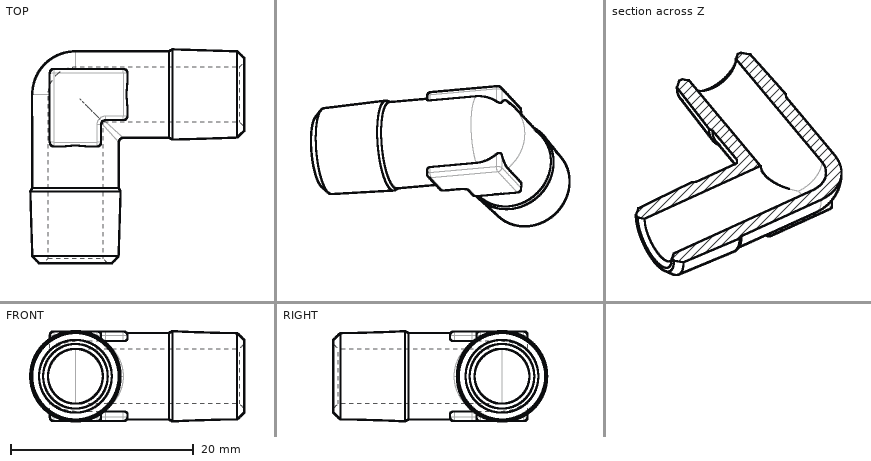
import cadquery as cq

overall_length = 23.45
collar_radius = 9.92 / 2
arm_length = overall_length - collar_radius

pipe_radius = 4.76
collar_start = 10.25
collar_step_length = 0.4
taper_start = collar_start + collar_step_length
taper_slope = 1 / 32
tip_chamfer_length = 0.77
tip_radius = 3.99
taper_end = arm_length - tip_chamfer_length
taper_end_radius = collar_radius - taper_slope * (taper_end - taper_start)

bore_radius = 3.0
mouth_radius = 3.55
mouth_depth = mouth_radius - bore_radius

pad_half_width = 2.82
pad_reach = 5.7
pad_height = 9.85
pad_corner_radius = 0.47
pad_edge_radius = 0.45

inner_crease_radius = 0.5


def revolve_arm(profile):
    """Revolve (distance along X, radius) points about the X axis."""
    return cq.Workplane("XY").polyline(profile).close().revolve(360, (0, 0, 0), (1, 0, 0))


def make_elbow(profile, ball_radius):
    """Join two perpendicular arms with a ball at their meeting point."""
    arm = revolve_arm(profile)
    second_arm = arm.rotate((0, 0, 0), (0, 0, 1), -90)
    ball = cq.Workplane("XY").sphere(ball_radius)
    return arm.union(second_arm).union(ball)


def make_pads():
    """L-shaped block whose two rounded ends stand out of the elbow."""
    outline = [
        (-pad_half_width, pad_half_width),
        (pad_reach, pad_half_width),
        (pad_reach, -pad_half_width),
        (pad_half_width, -pad_half_width),
        (pad_half_width, -pad_reach),
        (-pad_half_width, -pad_reach),
    ]
    block = cq.Workplane("XY").polyline(outline).close().extrude(pad_height / 2, both=True)
    block = block.edges("|Z").fillet(pad_corner_radius)
    return block.faces("|Z").edges().fillet(pad_edge_radius)


outer_profile = [
    (0, 0),
    (0, pipe_radius),
    (collar_start, pipe_radius),
    (taper_start, collar_radius),
    (taper_end, taper_end_radius),
    (arm_length, tip_radius),
    (arm_length, 0),
]
bore_profile = [
    (0, 0),
    (0, bore_radius),
    (arm_length - mouth_depth, bore_radius),
    (arm_length, mouth_radius),
    (arm_length, 0),
]

body = make_elbow(outer_profile, pipe_radius).union(make_pads())

crease_point = (pipe_radius, -pipe_radius, 0)
body = body.edges(cq.selectors.NearestToPointSelector(crease_point)).fillet(inner_crease_radius)

result = body.cut(make_elbow(bore_profile, bore_radius))